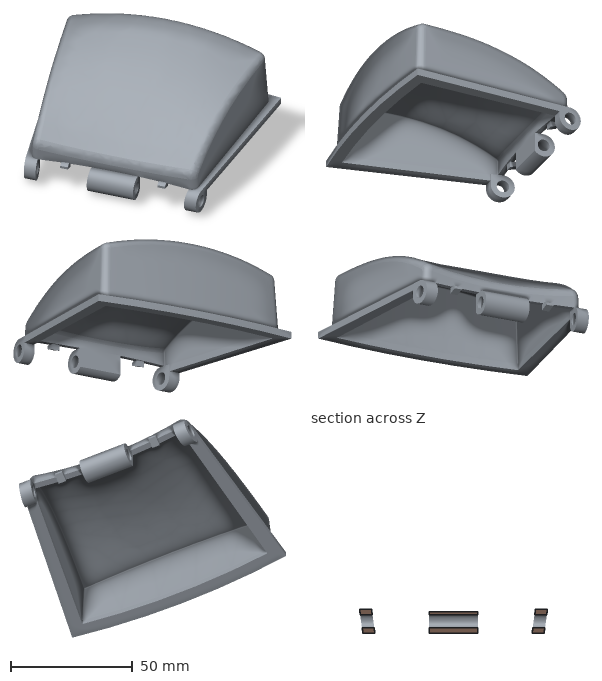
import cadquery as cq
import math


flange_width = 96.3
flange_thickness = 2.9
flange_side_angle = 8.0
hinge_to_back = 75.7

wall_thickness = 2.5
dome_back_inset = 2.6
dome_front_setback = 1.4
dome_side_angle = 7.0
dome_half_width_at_axis = 35.8
wall_draft = 3.0
wall_block_height = 43.3
edge_radius = 3.0
front_crest_radius = 4.4

crest_middle = ((3.3, 6.4), (20.2, 16.9), (43.3, 26.2), (68.3, 30.4))
crest_side = ((2.3, 9.3), (20.2, 18.1), (43.3, 23.3), (66.4, 24.45))
crest_section_places = (-5.8, 11.55, 32.7, 53.9, 77.0)
crest_section_half_width = 50.1
crest_section_floor = -50.1

knuckle_radius = 5.0
pin_hole_radius = 2.6
middle_knuckle_width = 20.0
end_knuckle_width = 5.1

hook_spacing = 42.2
hook_width = 3.3
hook_profile = ((2.4, 0.4), (0.2, 0.4), (-1.5, -0.3), (-1.5, -1.3), (2.4, -2.5))

flange_slope = math.tan(math.radians(flange_side_angle))
dome_slope = math.tan(math.radians(dome_side_angle))
flange_back_radius = flange_width / 2 / math.sin(math.radians(flange_side_angle))
arc_centre_y = hinge_to_back - flange_back_radius
flange_half_width_at_axis = -arc_centre_y * flange_slope
dome_back_radius = flange_back_radius - dome_back_inset
dome_front_radius = dome_front_setback - arc_centre_y


def ring_sector(back_radius, front_radius, half_width_at_axis, slope):
    """Outline between two concentric arcs and two mirrored straight sides x = half_width + slope * y."""

    def side_point(radius):
        half_width_at_centre = half_width_at_axis + slope * arc_centre_y
        a = 1 + slope**2
        b = slope * half_width_at_centre
        c = half_width_at_centre**2 - radius**2
        distance = (math.sqrt(b**2 - a * c) - b) / a
        return half_width_at_centre + slope * distance, arc_centre_y + distance

    back_x, back_y = side_point(back_radius)
    front_x, front_y = side_point(front_radius)
    return (
        cq.Workplane("XY")
        .moveTo(-back_x, back_y)
        .threePointArc((0, arc_centre_y + back_radius), (back_x, back_y))
        .lineTo(front_x, front_y)
        .threePointArc((0, arc_centre_y + front_radius), (-front_x, front_y))
        .close()
    )


def curve_height(points, y):
    """Height at y of the polynomial curve through the (y, z) points."""
    height = 0
    for point_y, point_z in points:
        share = point_z
        for other_y, _ in points:
            if other_y != point_y:
                share *= (y - other_y) / (point_y - other_y)
        height += share
    return height


def crest_section(y, drop):
    """Outline of the space below the crest at y, arched or dished on top, lowered by drop."""
    middle_z = curve_height(crest_middle, y)
    side_x = dome_half_width_at_axis - edge_radius + dome_slope * y
    crown = middle_z - curve_height(crest_side, y)
    end_z = middle_z - crown * (crest_section_half_width / side_x) ** 2
    outline = (
        cq.Workplane("XZ", origin=(0, y, -drop))
        .moveTo(-crest_section_half_width, end_z)
        .threePointArc((0, middle_z), (crest_section_half_width, end_z))
        .lineTo(crest_section_half_width, crest_section_floor)
        .lineTo(-crest_section_half_width, crest_section_floor)
        .close()
    )
    return outline.wires().val()


def dome_walls(inset):
    """Block with upright front and drafted back and sides, taller than the crest."""
    lean = wall_block_height * math.tan(math.radians(wall_draft))
    side_stretch = 1 / math.cos(math.radians(dome_side_angle))

    def outline(back_inset):
        return ring_sector(
            dome_back_radius - back_inset,
            dome_front_radius + inset,
            dome_half_width_at_axis - back_inset * side_stretch,
            dome_slope,
        ).wires().val()

    top = outline(inset + lean).translate(cq.Vector(0, 0, wall_block_height))
    return cq.Workplane(cq.Solid.makeLoft([outline(inset), top], True))


def solid_dome(inset):
    """Dome with rounded edges, walls drawn in and crest lowered by inset."""
    crest_space = cq.Solid.makeLoft([crest_section(y, inset) for y in crest_section_places])
    dome = dome_walls(inset).intersect(cq.Workplane(crest_space))
    dome = dome.faces("<Y").edges(">Z").fillet(front_crest_radius - inset)
    return dome.edges("not(<Z)").fillet(edge_radius - inset)


def make_flange():
    """U-shaped flange whose legs end on the hinge axis and whose opening matches the cavity."""
    leg_end_radius = math.hypot(flange_half_width_at_axis, arc_centre_y)
    plate = ring_sector(flange_back_radius, leg_end_radius, flange_half_width_at_axis, flange_slope)
    opening = ring_sector(
        dome_back_radius - wall_thickness,
        leg_end_radius - knuckle_radius,
        dome_half_width_at_axis - wall_thickness / math.cos(math.radians(dome_side_angle)),
        dome_slope,
    )
    return plate.extrude(-flange_thickness).cut(opening.extrude(-flange_thickness))


def hinge_bar(width):
    """Round bar on the hinge axis with a square heel behind its upper half."""
    bar_plane = cq.Workplane("YZ", origin=(-width / 2, 0, -knuckle_radius))
    bar = bar_plane.circle(knuckle_radius).extrude(width)
    heel = bar_plane.rect(knuckle_radius, knuckle_radius, centered=False).extrude(width)
    return bar.union(heel)


def middle_knuckle():
    """Knuckle below the front wall, trimmed flush with the inner face of that wall."""
    wall_inner_y = dome_front_setback + wall_thickness
    behind_wall = (
        cq.Workplane("XY", origin=(0, wall_inner_y, 0))
        .rect(flange_width, knuckle_radius, centered=(True, False))
        .extrude(-2 * knuckle_radius)
    )
    return hinge_bar(middle_knuckle_width).cut(behind_wall)


def end_knuckle(side):
    """Knuckle at one end, its faces parallel to the flange side."""
    shift = knuckle_radius * flange_slope
    front_x = flange_half_width_at_axis - shift
    back_x = flange_half_width_at_axis + shift
    slice_block = (
        cq.Workplane("XY")
        .moveTo(side * front_x, -knuckle_radius)
        .lineTo(side * back_x, knuckle_radius)
        .lineTo(side * (back_x - end_knuckle_width), knuckle_radius)
        .lineTo(side * (front_x - end_knuckle_width), -knuckle_radius)
        .close()
        .extrude(-2 * knuckle_radius)
    )
    return hinge_bar(flange_width).intersect(slice_block)


def snap_hook(x):
    start = cq.Workplane("YZ", origin=(x - hook_width / 2, 0, 0))
    return start.polyline(hook_profile).close().extrude(hook_width)


result = make_flange().union(solid_dome(0).cut(solid_dome(wall_thickness)))
result = result.union(middle_knuckle())
for side in (-1, 1):
    result = result.union(end_knuckle(side))
    result = result.union(snap_hook(side * hook_spacing / 2))

pin_hole = (
    cq.Workplane("YZ", origin=(-flange_width / 2, 0, -knuckle_radius))
    .circle(pin_hole_radius)
    .extrude(flange_width)
)
result = result.cut(pin_hole)